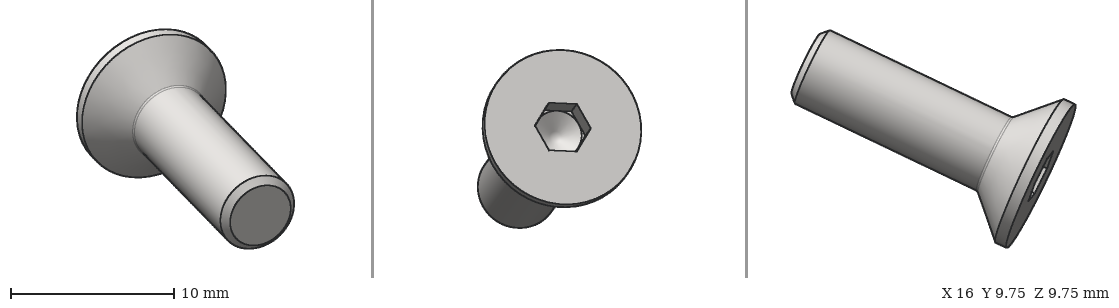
import cadquery as cq
import math

total_length = 16.0
head_diameter = 9.75
shank_diameter = 5.0
rim_thickness = 0.75
cone_half_angle = 45.0
neck_fillet_radius = 0.2
tip_chamfer = 0.45
hexagon_sides = 6
socket_across_flats = 3.0
socket_depth = 1.9
drill_point_half_angle = 60.0

head_radius = head_diameter / 2
shank_radius = shank_diameter / 2
socket_radius = socket_across_flats / 2
cone_length = (head_radius - shank_radius) / math.tan(math.radians(cone_half_angle))
neck_x = rim_thickness + cone_length
drill_point_depth = socket_radius / math.tan(math.radians(drill_point_half_angle))


def revolve_about_x(outline):
    """Close an outline drawn above the X axis and spin it a full turn about that axis."""
    return outline.close().revolve(360, (0, 0, 0), (1, 0, 0))


def make_body():
    """Rim, head cone and shank with a chamfered tip."""
    outline = (
        cq.Workplane("XZ")
        .moveTo(0, 0)
        .lineTo(0, head_radius)
        .lineTo(rim_thickness, head_radius)
        .lineTo(neck_x, shank_radius)
        .lineTo(total_length - tip_chamfer, shank_radius)
        .lineTo(total_length, shank_radius - tip_chamfer)
        .lineTo(total_length, 0)
    )
    return revolve_about_x(outline)


def round_neck(body):
    """Small fillet where the head cone meets the shank."""
    neck_edge = cq.selectors.BoxSelector(
        (neck_x - neck_fillet_radius, -head_radius, -head_radius),
        (neck_x + neck_fillet_radius, head_radius, head_radius),
        boundingbox=True,
    )
    return body.edges(neck_edge).fillet(neck_fillet_radius)


def make_socket():
    """Hexagonal recess with corners toward +Y and -Y, ending in a conical drill point."""
    corner_diameter = socket_across_flats / math.cos(math.pi / hexagon_sides)
    hexagon = cq.Workplane("YZ").polygon(hexagon_sides, corner_diameter).extrude(socket_depth)
    drill_outline = (
        cq.Workplane("XZ")
        .moveTo(socket_depth, 0)
        .lineTo(socket_depth, socket_radius)
        .lineTo(socket_depth + drill_point_depth, 0)
    )
    return hexagon.union(revolve_about_x(drill_outline))


result = round_neck(make_body()).cut(make_socket())